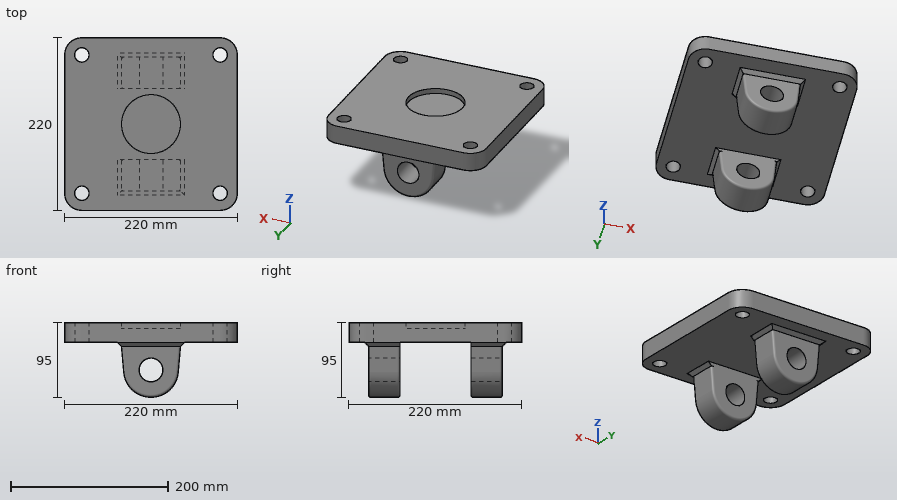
import cadquery as cq
import math

plate_side = 220.0
plate_thickness = 25.0
corner_radius = 22.0
bolt_hole_diameter = 18.0
bolt_spacing = plate_side - 2 * corner_radius
recess_diameter = 75.0
recess_depth = 7.0

lug_radius = 35.0
pin_drop = 35.0
pin_diameter = 30.0
lug_thickness = 40.0
lug_inner_face = 45.0
lug_taper = math.radians(5)
lug_edge_radius = 3.0
collar_size = 5.0


def lug_half_width(drop):
    """Half width of the tapered lug flank at a distance below the plate."""
    return lug_radius / math.cos(lug_taper) + (pin_drop - drop) * math.tan(lug_taper)


def make_plate():
    plate = cq.Workplane("XY").box(
        plate_side, plate_side, plate_thickness, centered=(True, True, False)
    )
    plate = plate.edges("|Z").fillet(corner_radius)
    plate = (
        plate.faces(">Z").workplane()
        .rect(bolt_spacing, bolt_spacing, forConstruction=True).vertices()
        .hole(bolt_hole_diameter)
    )
    return plate.faces(">Z").workplane().circle(recess_diameter / 2).cutBlind(-recess_depth)


def make_lug():
    """Lug on the -Y side: straight flanks tangent to a round end."""
    tangent_x = lug_radius * math.cos(lug_taper)
    tangent_z = -pin_drop - lug_radius * math.sin(lug_taper)
    top_x = lug_half_width(0)
    lug = (
        cq.Workplane("XZ", origin=(0, -lug_inner_face, 0))
        .moveTo(-top_x, 0)
        .lineTo(-tangent_x, tangent_z)
        .threePointArc((0, -pin_drop - lug_radius), (tangent_x, tangent_z))
        .lineTo(top_x, 0)
        .close()
        .extrude(lug_thickness)
    )
    lug = lug.faces("|Y").edges("not >Z").fillet(lug_edge_radius)
    pin_hole = (
        cq.Workplane("XZ", origin=(0, -lug_inner_face, 0))
        .center(0, -pin_drop)
        .circle(pin_diameter / 2)
        .extrude(lug_thickness)
    )
    return lug.cut(pin_hole)


def make_collar():
    """Chamfered base that widens toward the plate on three sides, flush on the inner side."""
    bottom_half_width = lug_half_width(collar_size)
    top_half_width = bottom_half_width + collar_size
    top_length = lug_thickness + collar_size
    return (
        cq.Workplane("XY", origin=(0, -lug_inner_face, -collar_size))
        .center(0, -lug_thickness / 2)
        .rect(2 * bottom_half_width, lug_thickness)
        .workplane(offset=collar_size)
        .center(0, -collar_size / 2)
        .rect(2 * top_half_width, top_length)
        .loft(ruled=True)
    )


front_lug = make_lug().union(make_collar())
back_lug = front_lug.mirror("XZ")
result = make_plate().union(front_lug).union(back_lug)